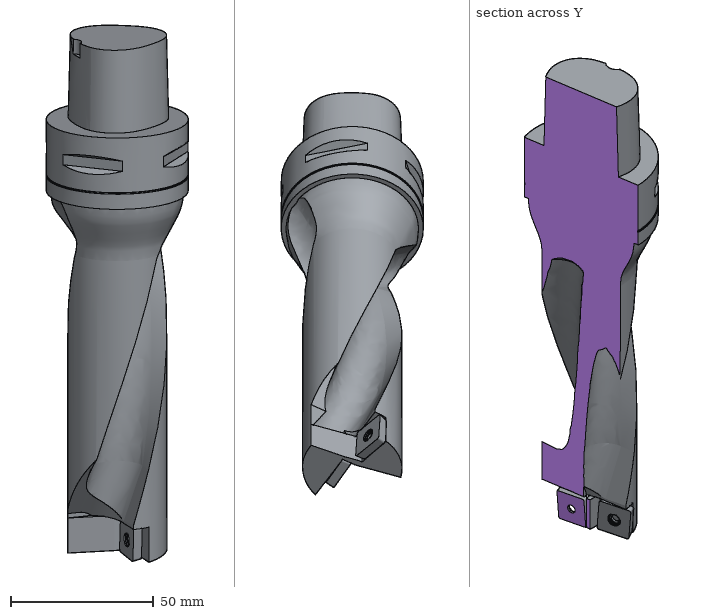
import cadquery as cq
import math

shank_length = 30.0
shank_mean_radius = 17.4
shank_lobe = 1.2
shank_taper = 1 / 40
shank_seam_angle = 35.5
shank_spans = 6
key_radius = 3.75
key_centre_y = -17.6
key_depth = 5.3

flange_radius = 25.0
flange_height = 26.0
groove_radius = 24.75
groove_top = 20.0
groove_width = 0.5
grip_flat_distance = 22.3
grip_centre_z = -10.3
grip_floor_width = 3.7
grip_mouth_width = 6.7
grip_count = 4

neck_radius = 23.25
neck_land_end = 26.6
shaft_radius = 17.5
shaft_top = 47.0
holder_end = 157.8
end_slope = 6.0

flute_radius = 9.4
flute_offset = 11.7
flute_arc_end = 60.0
flute_lean = 20.0
flute_rate = 1.07
flute_top = 48.0
flute_bottom = 124.0
flute_top_angle = -120.0
runout_height = 22.0
runout_slope = 46.0
runout_heading = -76.0
clearance = 30.0

foot_floor = -1.0
foot_blend_radius = 11.0
foot_start = (11.8, -120.0)
foot_slope = 36.6

pocket_top = 145.0
wall_flare = 3.4
insert_size = 12.4
insert_thickness = 3.4
insert_corner_radius = 0.8
insert_relief = 7.0
insert_tilt = 4.0
insert_tip = 158.99
outer_insert_lift = 0.4
screw_steps = [(4.8, 0.5), (4.0, 1.0), (3.0, 2.0)]

central_wall_x = -2.2
central_seat_y = 5.2
central_insert_x = 4.3
outer_wall_x = 4.6
outer_seat_y = 2.6
outer_insert_x = 11.5
outer_seat_angle = 10.5


def half_turn(shape):
    return shape.rotate((0, 0, 0), (0, 0, 1), 180)


def shank_point(angle, mean_radius, z):
    radius = mean_radius + shank_lobe * math.cos(math.radians(3 * (angle - 90)))
    turn = math.radians(angle)
    return cq.Vector(radius * math.cos(turn), radius * math.sin(turn), z)


def shank_tangent(angle, mean_radius, z):
    step = 0.01
    ahead = shank_point(angle + step, mean_radius, z)
    behind = shank_point(angle - step, mean_radius, z)
    return (ahead - behind).normalized()


def shank_wire(mean_radius, z):
    seams = []
    for flat_angle in (-90, 30, 150):
        seams += [flat_angle - shank_seam_angle, flat_angle + shank_seam_angle]
    edges = []
    for start, end in zip(seams, seams[1:] + [seams[0] + 360]):
        step = (end - start) / shank_spans
        angles = [start + i * step for i in range(shank_spans + 1)]
        points = [shank_point(a, mean_radius, z) for a in angles]
        tangents = [shank_tangent(a, mean_radius, z) for a in (start, end)]
        edges.append(cq.Edge.makeSpline(points, tangents=tangents))
    return cq.Wire.assembleEdges(edges)


def make_shank():
    top_radius = shank_mean_radius - shank_taper * shank_length
    wires = [shank_wire(shank_mean_radius, 0), shank_wire(top_radius, shank_length)]
    key_cutter = (
        cq.Workplane("XY", origin=(0, key_centre_y, shank_length - key_depth))
        .circle(key_radius)
        .extrude(key_depth)
    )
    return cq.Workplane(cq.Solid.makeLoft(wires, True)).cut(key_cutter)


def make_turned_body():
    groove_bottom = groove_top + groove_width
    profile = (
        cq.Workplane("XZ")
        .moveTo(0, 0)
        .lineTo(flange_radius, 0)
        .lineTo(flange_radius, -groove_top)
        .lineTo(groove_radius, -groove_top)
        .lineTo(groove_radius, -groove_bottom)
        .lineTo(flange_radius, -groove_bottom)
        .lineTo(flange_radius, -flange_height)
        .lineTo(neck_radius, -flange_height)
        .lineTo(neck_radius, -neck_land_end)
        .spline([(shaft_radius, -shaft_top)], tangents=[(0, -1), (0, -1)], includeCurrent=True)
        .lineTo(shaft_radius, -holder_end)
        .lineTo(0, -holder_end)
        .close()
    )
    return profile.revolve(360, (0, 0), (0, 1))


def make_grip_slots():
    depth = flange_radius - grip_flat_distance
    flare = (grip_mouth_width - grip_floor_width) / 2
    half_floor = grip_floor_width / 2
    half_mouth = half_floor + 2 * flare
    slot = (
        cq.Workplane("XZ")
        .polyline([
            (grip_flat_distance, grip_centre_z - half_floor),
            (grip_flat_distance + 2 * depth, grip_centre_z - half_mouth),
            (grip_flat_distance + 2 * depth, grip_centre_z + half_mouth),
            (grip_flat_distance, grip_centre_z + half_floor),
        ])
        .close()
        .extrude(flange_radius, both=True)
    )
    step = 360 / grip_count
    return [slot.rotate((0, 0, 0), (0, 0, 1), step * (i + 0.5)) for i in range(grip_count)]


def flute_profile(z):
    arc_end = math.radians(flute_arc_end)
    leading_x = flute_offset + flute_radius * math.cos(arc_end)
    leading_y = -flute_radius * math.sin(arc_end)
    lean = math.radians(flute_lean)
    tangent_x = flute_offset - flute_radius * math.sin(lean)
    tangent_y = flute_radius * math.cos(lean)
    mouth_y = tangent_y + (clearance - tangent_x) * math.tan(lean)
    return (
        cq.Workplane("XY", origin=(0, 0, z))
        .moveTo(leading_x, leading_y)
        .threePointArc((flute_offset - flute_radius, 0), (tangent_x, tangent_y))
        .lineTo(clearance, mouth_y)
        .lineTo(clearance, leading_y * clearance / leading_x)
        .close()
    )


def sweep_flute_section(z, angle, heading, run, rise):
    turn = math.radians(heading)
    path = cq.Vector(run * math.cos(turn), run * math.sin(turn), rise)
    section = flute_profile(z).wires().val()
    section = section.rotate(cq.Vector(0, 0, 0), cq.Vector(0, 0, 1), angle)
    return cq.Workplane(cq.Solid.extrudeLinear(cq.Face.makeFromWires(section), path))


def make_flute():
    length = flute_bottom - flute_top
    twist = flute_rate * length
    bottom_angle = flute_top_angle - twist
    helix = flute_profile(-flute_bottom).twistExtrude(length, twist)
    helix = helix.rotate((0, 0, 0), (0, 0, 1), bottom_angle)
    outward = runout_height * math.tan(math.radians(runout_slope))
    runout = sweep_flute_section(-flute_top, flute_top_angle, runout_heading, outward, runout_height)
    tail_length = pocket_top - flute_bottom
    sideways = tail_length * shaft_radius * math.radians(flute_rate)
    tail = sweep_flute_section(-flute_bottom, bottom_angle, bottom_angle - 90, sideways, -tail_length)
    return [helix, runout, tail]


def make_flute_foot(end_x):
    start_x, start_z = foot_start
    end_z = start_z - (start_x - end_x) / math.tan(math.radians(foot_slope))
    foot = (
        cq.Workplane("XZ", origin=(0, foot_floor, 0))
        .polyline([
            (clearance, start_z),
            (start_x, start_z),
            (end_x, end_z),
            (end_x, -pocket_top),
            (clearance, -pocket_top),
        ])
        .close()
        .extrude(clearance)
    )
    middle = ((start_x + end_x) / 2, foot_floor, (start_z + end_z) / 2)
    return foot.edges(cq.NearestToPointSelector(middle)).fillet(foot_blend_radius)


def make_pocket(wall_x, seat_x, seat_y, seat_angle):
    slope = math.tan(math.radians(seat_angle))

    def seat(x):
        return seat_y + (x - seat_x) * slope

    return (
        cq.Workplane("XY", origin=(0, 0, -pocket_top))
        .polyline([
            (wall_x, seat(wall_x)),
            (wall_x, 0),
            (wall_x - wall_flare, -shaft_radius),
            (wall_x - wall_flare, -clearance),
            (clearance, -clearance),
            (clearance, seat(clearance)),
        ])
        .close()
        .extrude(pocket_top - insert_tip)
    )


def make_insert(x, seat_y, seat_angle, lift):
    tilt = math.radians(insert_tilt)
    half_flat = insert_size / 2 - insert_corner_radius
    half_height = half_flat * (math.cos(tilt) + math.sin(tilt)) + insert_corner_radius
    insert = (
        cq.Workplane("XZ", origin=(0, -insert_thickness, 0))
        .rect(insert_size, insert_size)
        .extrude(-insert_thickness, taper=insert_relief)
        .edges("not(|X or |Z)")
        .fillet(insert_corner_radius)
    )
    for diameter, depth in screw_steps:
        step = cq.Workplane("XZ", origin=(0, -insert_thickness, 0)).circle(diameter / 2).extrude(-depth)
        insert = insert.cut(step)
    return (
        insert.rotate((0, 0, 0), (0, 1, 0), insert_tilt)
        .rotate((0, 0, 0), (0, 0, 1), seat_angle)
        .translate((x, seat_y, half_height + lift - insert_tip))
    )


def make_central_insert():
    return make_insert(central_insert_x, central_seat_y, 0, 0)


def make_outer_insert():
    insert = make_insert(outer_insert_x, outer_seat_y, outer_seat_angle, outer_insert_lift)
    return half_turn(insert)


def make_end_relief():
    rise = (shaft_radius - central_seat_y) * math.tan(math.radians(end_slope))
    return (
        cq.Workplane("YZ")
        .polyline([
            (central_seat_y, -holder_end),
            (shaft_radius, -holder_end + rise),
            (shaft_radius, -holder_end),
        ])
        .close()
        .extrude(clearance, both=True)
    )


def make_holder(inserts):
    holder = make_turned_body().union(make_shank())
    cutters = make_grip_slots()
    for cutter in make_flute():
        cutters += [cutter, half_turn(cutter)]
    cutters.append(make_flute_foot(central_wall_x - wall_flare))
    cutters.append(half_turn(make_flute_foot(outer_wall_x - wall_flare)))
    cutters.append(make_pocket(central_wall_x, central_insert_x, central_seat_y, 0))
    cutters.append(half_turn(make_pocket(outer_wall_x, outer_insert_x, outer_seat_y, outer_seat_angle)))
    cutters.append(make_end_relief())
    for cutter in cutters + inserts:
        holder = holder.cut(cutter)
    return holder


central_insert = make_central_insert()
outer_insert = make_outer_insert()
holder = make_holder([central_insert, outer_insert])

result = cq.Compound.makeCompound([holder.val(), central_insert.val(), outer_insert.val()])